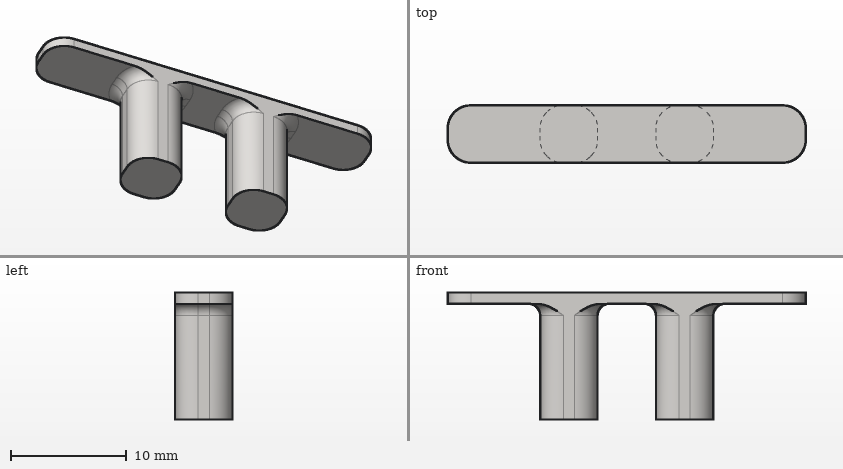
import cadquery as cq

plate_length = 31.0
width = 5.0
plate_thickness = 1.0
total_height = 11.0
corner_radius = 2.0
leg_spacing = 10.0
root_radius = 1.0

leg_length = total_height - plate_thickness
blank_width = width + 4 * root_radius


def rounded_bar(length, height):
    """Upright bar with rounded vertical corners, standing on Z = 0."""
    bar = cq.Workplane("XY").rect(length, width).extrude(height)
    return bar.edges("|Z").fillet(corner_radius)


def flared_leg():
    """Leg whose root fillet is trimmed flush with the long sides of the plate."""
    blank = (
        cq.Workplane("XY")
        .workplane(offset=leg_length)
        .rect(blank_width, blank_width)
        .extrude(plate_thickness)
    )
    reach = (width + root_radius) / 2
    root_edges = cq.selectors.BoxSelector(
        (-reach, -reach, leg_length - root_radius / 2),
        (reach, reach, leg_length + root_radius / 2),
    )
    leg = rounded_bar(width, leg_length).union(blank)
    leg = leg.edges(root_edges).fillet(root_radius)
    trim = cq.Workplane("XY").box(
        blank_width, width, total_height, centered=(True, True, False)
    )
    return leg.intersect(trim)


result = rounded_bar(plate_length, plate_thickness).translate((0, 0, leg_length))
for side in (-1, 1):
    result = result.union(flared_leg().translate((side * leg_spacing / 2, 0, 0)))
result = result.clean()